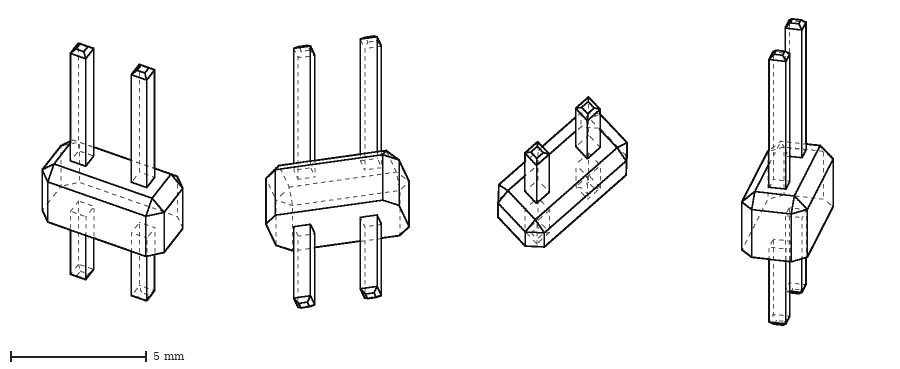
import cadquery as cq

pin_length = 11.3
body_length = 5.08
body_depth = 2.5
body_height = 2.5

body_bottom = 3.3
body_chamfer = 0.5

pin_count = 2
pin_pitch = body_length / pin_count
pin_width = 0.64
tip_chamfer = 0.16


def make_body():
    """Block with its upright and top edges chamfered; the underside stays sharp."""
    block = cq.Workplane("XY", origin=(0, 0, body_bottom)).box(
        body_length, body_depth, body_height, centered=(True, True, False)
    )
    return block.edges("|Z or >Z").chamfer(body_chamfer)


def make_pin(x):
    """Square pin at the given x, tapered at both tips."""
    pin = cq.Workplane("XY", origin=(x, 0, 0)).box(
        pin_width, pin_width, pin_length, centered=(True, True, False)
    )
    return pin.faces("<Z or >Z").edges().chamfer(tip_chamfer)


result = make_body()
for index in range(pin_count):
    pin_x = (index - (pin_count - 1) / 2) * pin_pitch
    result = result.union(make_pin(pin_x))